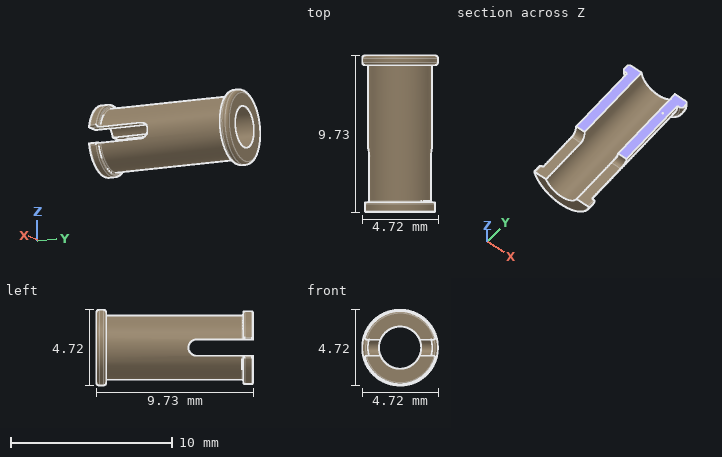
import cadquery as cq

length = 9.73
body_radius = 1.99
bore_radius = 1.3

flange_radius = 2.36
flange_thickness = 0.63
flange_rounding = 0.2

collar_radius = 2.27
collar_thickness = 0.61
collar_rounding = 0.11
root_radius = 0.09

slot_width = 1.0
slot_depth = 4.0


def disc(radius, start, thickness):
    """Solid disc on the Y axis, reaching from start towards +Y."""
    return cq.Workplane("XZ", origin=(0, start, 0)).circle(radius).extrude(-thickness)


def make_slot():
    """Cutter running along X through both walls, open at Y = 0."""
    half_width = slot_width / 2
    arc_start = slot_depth - half_width
    return (
        cq.Workplane("YZ")
        .moveTo(0, -half_width)
        .lineTo(arc_start, -half_width)
        .threePointArc((slot_depth, 0), (arc_start, half_width))
        .lineTo(0, half_width)
        .close()
        .extrude(flange_radius, both=True)
    )


def make_flange():
    """Flange with both rims rounded."""
    flange = disc(flange_radius, length - flange_thickness, flange_thickness)
    return flange.edges("%CIRCLE").fillet(flange_rounding)


def make_collar(slot):
    """Two collar halves, rounded all around their outer surfaces."""
    halves = disc(collar_radius, 0, collar_thickness).cut(slot)
    return halves.faces("%CYLINDER").edges().fillet(collar_rounding)


def make_root():
    """Ring that blends the body into the back of the collar."""
    outer = body_radius + root_radius
    blend_end = collar_thickness + root_radius
    return (
        cq.Workplane("XY")
        .moveTo(bore_radius, collar_thickness)
        .lineTo(outer, collar_thickness)
        .radiusArc((body_radius, blend_end), root_radius)
        .lineTo(bore_radius, blend_end)
        .close()
        .revolve(360, (0, 0, 0), (0, 1, 0))
    )


slot = make_slot()
body = disc(body_radius, 0, length)
bore = disc(bore_radius, 0, length)
result = body.union(make_root()).union(make_flange()).cut(slot)
result = result.union(make_collar(slot)).cut(bore)